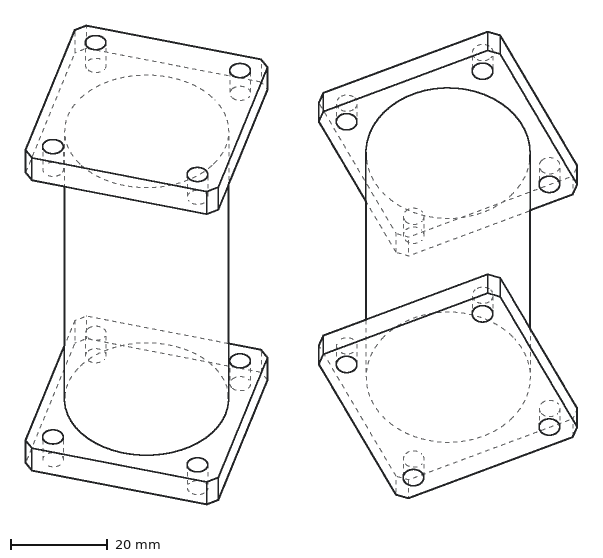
import cadquery as cq

total_height = 88.9
flange_side = 41.4
flange_thickness = 6.4
corner_chamfer = 2.0
column_diameter = 34.0
hole_diameter = 4.3
hole_spacing_x = 31.0
hole_spacing_y = 32.5


def flange(bottom_z):
    """Square plate with chamfered corners and four bolt holes."""
    plate = (
        cq.Workplane("XY", origin=(0, 0, bottom_z))
        .rect(flange_side, flange_side)
        .extrude(flange_thickness)
        .edges("|Z")
        .chamfer(corner_chamfer)
    )
    return (
        plate.faces(">Z")
        .workplane(origin=(0, 0, 0))
        .rect(hole_spacing_x, hole_spacing_y, forConstruction=True)
        .vertices()
        .hole(hole_diameter)
    )


column = cq.Workplane("XY").circle(column_diameter / 2).extrude(total_height)

bottom_flange = flange(0)
top_flange = flange(total_height - flange_thickness)

result = column.union(bottom_flange).union(top_flange)